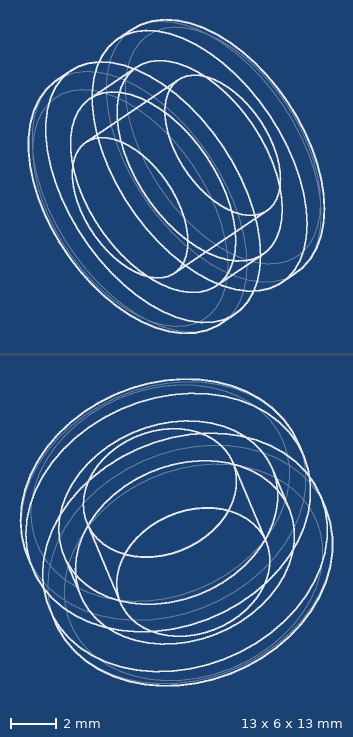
import cadquery as cq

flange_diameter = 13.0
neck_diameter = 10.0
bore_diameter = 7.0
total_width = 6.0
flange_width = 1.5
edge_radius = 0.6


def cylinder_along_y(diameter, width):
    """Cylinder on the Y axis, centred on the origin."""
    return cq.Workplane("XZ").circle(diameter / 2).extrude(width / 2, both=True)


def flange(side):
    """Flange at the -Y (side = -1) or +Y (side = 1) end, with its outer rim rounded."""
    outer_face = "<Y" if side < 0 else ">Y"
    disc = cylinder_along_y(flange_diameter, flange_width).faces(outer_face).edges().fillet(edge_radius)
    return disc.translate((0, side * (total_width - flange_width) / 2, 0))


neck = cylinder_along_y(neck_diameter, total_width - flange_width)
bore = cylinder_along_y(bore_diameter, total_width)

result = neck.union(flange(-1)).union(flange(1)).cut(bore)